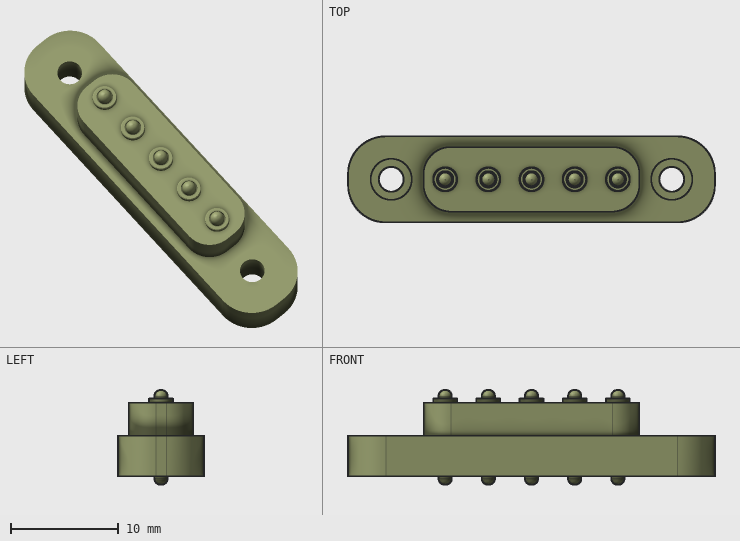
import cadquery as cq

plate_length = 34.0
plate_width = 8.0
plate_height = 3.77
plate_corner_radius = 3.5
block_length = 20.0
block_width = 6.0
block_height = 3.05
block_corner_radius = 2.5
housing_height = plate_height + block_height

bushing_diameter = 3.8
bushing_bore = 2.28
bushing_offset = 13.0

pin_count = 5
pin_pitch = block_length / pin_count
shaft_diameter = 1.25
tip_rounding = 0.6
shaft_rise = 1.2
shaft_drop = 0.78
collar_diameter = 2.25
collar_height = 0.4
collar_chamfer = 0.07
collar_recess_diameter = 1.53
collar_recess_depth = 0.2

bushing_centers = [(-bushing_offset, 0), (bushing_offset, 0)]
pin_centers = [((i - (pin_count - 1) / 2) * pin_pitch, 0) for i in range(pin_count)]


def rounded_slab(length, width, height, corner_radius, base_z):
    """Flat slab with rounded vertical corners, standing on base_z."""
    slab = cq.Workplane("XY", origin=(0, 0, base_z)).rect(length, width).extrude(height)
    return slab.edges("|Z").fillet(corner_radius)


def cylinders(centers, diameter, height, base_z=0):
    """One upright cylinder at each center."""
    plane = cq.Workplane("XY", origin=(0, 0, base_z))
    return plane.pushPoints(centers).circle(diameter / 2).extrude(height)


def make_housing():
    """Plate and block in one piece, with seats for the bushings and the pins."""
    plate = rounded_slab(plate_length, plate_width, plate_height, plate_corner_radius, 0)
    block = rounded_slab(block_length, block_width, block_height, block_corner_radius, plate_height)
    bushing_seats = cylinders(bushing_centers, bushing_diameter, plate_height)
    pin_holes = cylinders(pin_centers, shaft_diameter, housing_height)
    return plate.union(block).cut(bushing_seats).cut(pin_holes)


def make_bushing(center):
    """Plain sleeve as tall as the plate."""
    sleeve = cq.Workplane("XY").center(*center).circle(bushing_diameter / 2).circle(bushing_bore / 2)
    return sleeve.extrude(plate_height)


def make_pin(center):
    """Round-ended shaft through the housing, with a chamfered and recessed collar on the block."""
    shaft = cylinders([center], shaft_diameter, shaft_drop + housing_height + shaft_rise, -shaft_drop)
    shaft = shaft.faces("<Z or >Z").edges().fillet(tip_rounding)
    collar = cylinders([center], collar_diameter, collar_height, housing_height)
    collar = collar.faces(">Z").edges().chamfer(collar_chamfer)
    recess_floor = housing_height + collar_height - collar_recess_depth
    recess = cylinders([center], collar_recess_diameter, collar_recess_depth, recess_floor)
    return collar.cut(recess).union(shaft)


housing = make_housing()
bushings = [make_bushing(center).val() for center in bushing_centers]
pins = [make_pin(center).val() for center in pin_centers]

result = cq.Compound.makeCompound([housing.val(), *bushings, *pins])